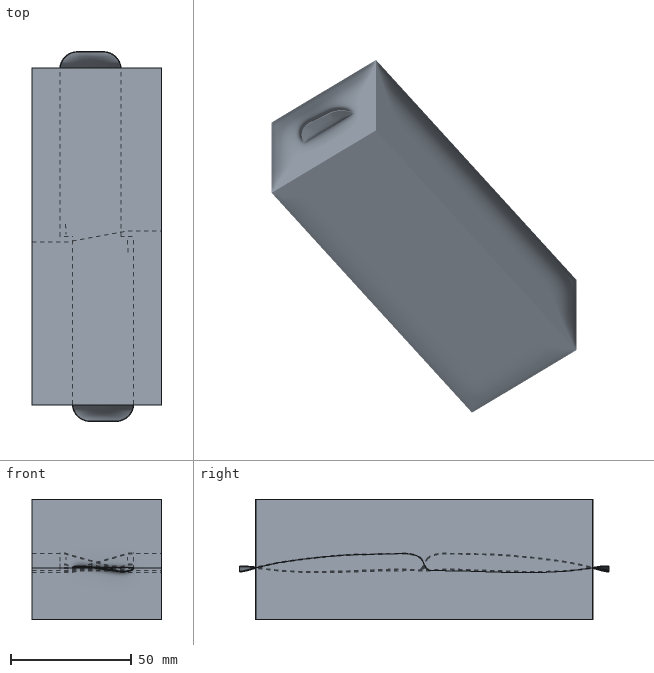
import cadquery as cq

BLOCK_WIDTH = 54.0
BLOCK_LENGTH = 140.5
BLOCK_HEIGHT = 50.0
LOWER_HEIGHT = 21.5

OVERALL_LENGTH = 154.0
BLADE_THICKNESS = 0.3
TIP_FLAT = 10.6
TIP_CORNER_RADIUS = 15.0 / 2
BLADE_WIDTH = TIP_FLAT + 2 * TIP_CORNER_RADIUS
BLADE_OFFSET = 2.6

HALF_WIDTH = BLOCK_WIDTH / 2
HALF_FACE = BLOCK_LENGTH / 2
HALF_LENGTH = OVERALL_LENGTH / 2

ARCH = [
    (HALF_LENGTH, -2.3), (HALF_FACE, 0), (50.0, 3.7), (24.2, 5.7), (12.3, 5.9), (4.2, 5.4),
    (1.1, 3.5), (0, 1.4), (-2.3, -1.1),
]
SAG = [ARCH[-1], (-43.1, -2.0), (-HALF_FACE, 0), (-HALF_LENGTH, 1.4)]


def edge_section(x_at_plus_y, x_at_minus_y, turned, offset):
    """Upright wire from the base up to a blade edge that runs between two X positions.

    A turned section is the half-turn image of the edge about Z.
    """
    turn = -1 if turned else 1

    def place(y, z):
        along = (y + HALF_LENGTH) / OVERALL_LENGTH
        return cq.Vector(x_at_minus_y + along * (x_at_plus_y - x_at_minus_y), y, z)

    level = LOWER_HEIGHT + offset
    curves = [[place(turn * y, level + z) for y, z in points] for points in (ARCH, SAG)]
    if turned:
        curves = [points[::-1] for points in curves[::-1]]
    first, last = place(HALF_LENGTH, 0), place(-HALF_LENGTH, 0)
    edges = [cq.Edge.makeSpline(points) for points in curves]
    edges.append(cq.Edge.makeLine(curves[-1][-1], last))
    edges.append(cq.Edge.makeLine(last, first))
    edges.append(cq.Edge.makeLine(first, curves[0][0]))
    return cq.Wire.assembleEdges(edges)


def below_parting_surface(offset=0):
    """Everything under the blade surface, which runs level from the blade edges to the sides."""
    outer, inner = BLADE_WIDTH / 2 + BLADE_OFFSET, BLADE_WIDTH / 2 - BLADE_OFFSET
    sections = [
        edge_section(-HALF_WIDTH, -HALF_WIDTH, False, offset),
        edge_section(-outer, -inner, False, offset),
        edge_section(inner, outer, True, offset),
        edge_section(HALF_WIDTH, HALF_WIDTH, True, offset),
    ]
    return cq.Workplane(cq.Solid.makeLoft(sections, True))


def make_propeller():
    """Sheet of even upright thickness, trimmed to two blades with rounded tips."""
    plus_y_side = (
        cq.Workplane("XY")
        .center(0, HALF_LENGTH / 2)
        .rect(BLOCK_WIDTH, HALF_LENGTH)
        .extrude(BLOCK_HEIGHT)
    )
    blade = (
        cq.Workplane("XY")
        .center(-BLADE_OFFSET, 0)
        .rect(BLADE_WIDTH, OVERALL_LENGTH)
        .extrude(BLOCK_HEIGHT)
        .edges("|Z and >Y")
        .fillet(TIP_CORNER_RADIUS)
        .intersect(plus_y_side)
    )
    outline = blade.union(blade.rotate((0, 0, 0), (0, 0, 1), 180))
    sheet = below_parting_surface(BLADE_THICKNESS / 2).cut(below_parting_surface(-BLADE_THICKNESS / 2))
    return sheet.intersect(outline)


block = cq.Workplane("XY").box(BLOCK_WIDTH, BLOCK_LENGTH, BLOCK_HEIGHT, centered=(True, True, False))
propeller = make_propeller()
below = below_parting_surface()
lower_half = block.intersect(below).cut(propeller)
upper_half = block.cut(below).cut(propeller)

bodies = [lower_half, upper_half, propeller]
result = cq.Compound.makeCompound([body.solids().val() for body in bodies])